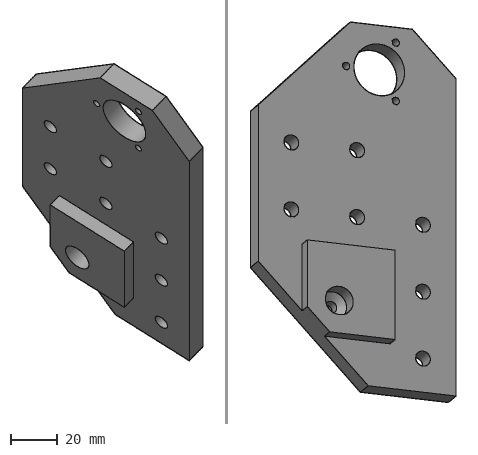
import cadquery as cq
import math

WIDTH = 90.0
HEIGHT = 162.0
PLATE_THICKNESS = 9.5
UPPER_LEFT_CUT = 42.0
UPPER_RIGHT_CUT = 20.0
LOWER_LEFT_CUT = 50.0

PAD_SIZE = 40.0
PAD_INSET = 20.0
PAD_THICKNESS = 6.3

GRID_PITCH = 30.0
GRID_INSET = 15.0
MOUNT_DIAMETER = 6.6
MOUNT_CELLS = [(2, 0), (2, 1), (0, 2), (1, 2), (2, 2), (0, 3), (1, 3)]

BORE_DIAMETER = 23.0
BORE_X = 55.0
BORE_Z = HEIGHT - UPPER_RIGHT_CUT
SCREW_DIAMETER = 3.2
SCREW_COUNT = 3
SCREW_CIRCLE_RADIUS = 15.0

STEP_CENTER = 34.5
STEP_DIAMETER = 12.6
STEP_STRAIGHT_DEPTH = 8.1
STEP_POINT_ANGLE = 118
PILOT_DIAMETER = 5.3

TOTAL_THICKNESS = PLATE_THICKNESS + PAD_THICKNESS


def make_outline_slab(front_y, back_y):
    """Slab with the plate's cut-corner outline between two y positions."""
    points = [
        (LOWER_LEFT_CUT, 0),
        (WIDTH, 0),
        (WIDTH, HEIGHT - UPPER_RIGHT_CUT),
        (WIDTH - UPPER_RIGHT_CUT, HEIGHT),
        (UPPER_LEFT_CUT, HEIGHT),
        (0, HEIGHT - UPPER_LEFT_CUT),
        (0, LOWER_LEFT_CUT),
    ]
    plane = cq.Workplane("XZ", origin=(0, back_y, 0))
    return plane.polyline(points).close().extrude(back_y - front_y)


def make_pad():
    """Square pad, cut off along the plate's lower left edge."""
    square = cq.Workplane("XY").box(PAD_SIZE, PAD_THICKNESS, PAD_SIZE, centered=False)
    square = square.translate((PAD_INSET, -PAD_THICKNESS, PAD_INSET))
    return square.intersect(make_outline_slab(-PAD_THICKNESS, 0))


def make_through_holes(centers, diameter):
    """Cylinders along Y through the plate at the given (x, z) centers."""
    plane = cq.Workplane("XZ", origin=(0, PLATE_THICKNESS, 0))
    return plane.pushPoints(centers).circle(diameter / 2).extrude(PLATE_THICKNESS)


def make_stepped_hole():
    """Revolved cutter: straight bore, conical shoulder and pilot hole."""
    bore_radius = STEP_DIAMETER / 2
    pilot_radius = PILOT_DIAMETER / 2
    half_angle = math.radians(STEP_POINT_ANGLE / 2)
    cone_depth = (bore_radius - pilot_radius) / math.tan(half_angle)
    profile = [
        (0, 0),
        (bore_radius, 0),
        (bore_radius, STEP_STRAIGHT_DEPTH),
        (pilot_radius, STEP_STRAIGHT_DEPTH + cone_depth),
        (pilot_radius, TOTAL_THICKNESS),
        (0, TOTAL_THICKNESS),
    ]
    cutter = cq.Workplane("XY").polyline(profile).close().revolve(360, (0, 0), (0, 1))
    return cutter.translate((STEP_CENTER, -PAD_THICKNESS, STEP_CENTER))


mount_centers = [
    (GRID_INSET + column * GRID_PITCH, GRID_INSET + row * GRID_PITCH)
    for column, row in MOUNT_CELLS
]

screw_angles = [
    math.pi / SCREW_COUNT + index * 2 * math.pi / SCREW_COUNT
    for index in range(SCREW_COUNT)
]
screw_centers = [
    (BORE_X + SCREW_CIRCLE_RADIUS * math.cos(angle), BORE_Z + SCREW_CIRCLE_RADIUS * math.sin(angle))
    for angle in screw_angles
]

result = make_outline_slab(0, PLATE_THICKNESS).union(make_pad())
result = result.cut(make_through_holes(mount_centers, MOUNT_DIAMETER))
result = result.cut(make_through_holes([(BORE_X, BORE_Z)], BORE_DIAMETER))
result = result.cut(make_through_holes(screw_centers, SCREW_DIAMETER))
result = result.cut(make_stepped_hole())